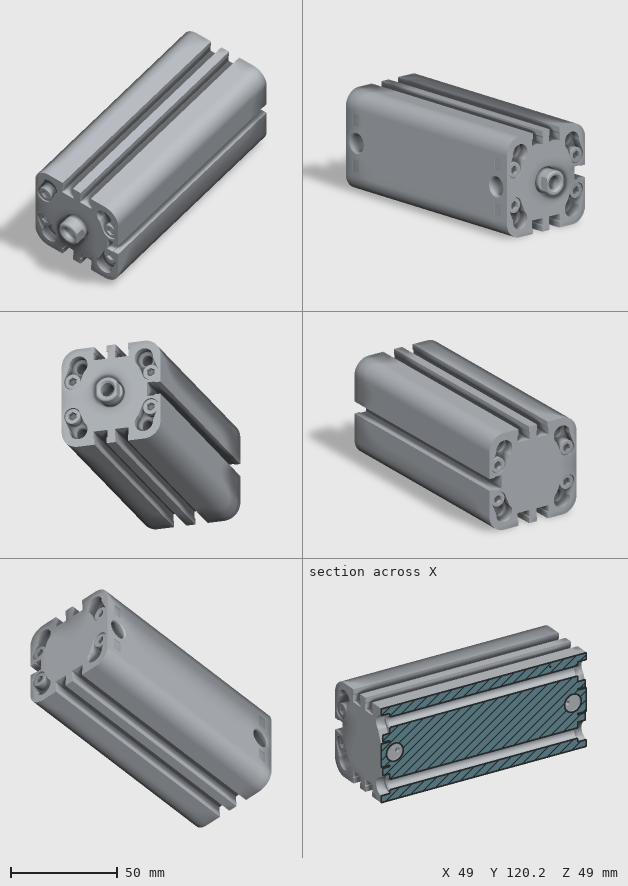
import cadquery as cq
import math


BODY_WIDTH = 49.0
TOTAL_LENGTH = 120.2
ROD_REACH = 6.6
BODY_LENGTH = TOTAL_LENGTH - ROD_REACH
CORNER_RADIUS = 8.0
HALF_WIDTH = BODY_WIDTH / 2

GROOVE_OFFSET = 5.3
GROOVE_MOUTH = 6.0
GROOVE_WIDTH = 6.9
GROOVE_DEPTH = 6.6
GROOVE_LIP = 2.8

HOLE_OFFSET = 16.2
HOLE_DIAMETER = 5.2
COUNTERSINK_DIAMETER = 6.4
COUNTERBORE_DIAMETER = 9.0
SCREW_X = 19.4
SCREW_Z = 8.7
SLOT_WIDTH = 7.9
WAIST_RADIUS = 1.8
POCKET_DEPTH = 4.7
SCREW_HEAD_DIAMETER = 7.5
SCREW_HEAD_CHAMFER = 0.1
SCREW_RECESS = 0.6
SOCKET_ACROSS_FLATS = 3.7
SOCKET_DEPTH = 2.4

PORT_INSET = 7.6
PORT_DIAMETER = 9.0
PORT_CHAMFER = 0.6
PORT_DEPTH = 9.6
AIR_HOLE_DIAMETER = 2.5
AIR_HOLE_SHIFT = 2.2
AIR_HOLE_DEPTH = 3.6

LABEL_INSET = 6.7
LABEL_HEIGHT_OFFSET = 11.0
LABEL_LENGTH = 4.2
LABEL_HEIGHT = 5.9
LABEL_DEPTH = 0.2

CUT_MARGIN = 1.2
MATCH_TOLERANCE = 0.01

ROD_DIAMETER = 12.0
ROD_TIP_RADIUS = 1.0
ROD_FLATS = 10.0
ROD_FLAT_LENGTH = 4.2
ROD_BORE_DIAMETER = 6.6
ROD_BORE_MOUTH = 8.5
ROD_BORE_DEPTH = 12.0
DRILL_POINT_FLAT = 1.0
DRILL_POINT_ANGLE = 118.0
ROD_CLEARANCE_DIAMETER = 12.5
ROD_CLEARANCE_MOUTH = 13.7
ROD_CLEARANCE_DEPTH = 1.8


def cylinder_y(diameter, start, length, x=0, z=0):
    """Cylinder that runs from y = start toward +Y."""
    base = cq.Workplane("XZ", origin=(x, start, z))
    return base.circle(diameter / 2).extrude(-length)


def revolve_y(profile):
    """Solid turned about the Y axis from (radius, y) points."""
    return cq.Workplane("XY").polyline(profile).close().revolve(360, (0, 0, 0), (0, 1, 0))


def both_ends(shape):
    """The shape together with its mirror image at the other end of the body."""
    middle = (0, BODY_LENGTH / 2, 0)
    return shape.union(shape.mirror("XZ", middle))


def four_corners(shape):
    """The shape repeated in all four corners of the end face."""
    pair = shape.union(shape.mirror("YZ"))
    return pair.union(pair.mirror("XY"))


def body_block():
    block = cq.Workplane("XZ").rect(BODY_WIDTH, BODY_WIDTH).extrude(-BODY_LENGTH)
    return block.edges("|Y").fillet(CORNER_RADIUS)


def groove(offset):
    """Groove with 45 degree shoulders along the top face, centred at x = offset."""
    mouth = GROOVE_MOUTH / 2
    inner = GROOVE_WIDTH / 2
    lip = HALF_WIDTH - GROOVE_LIP
    shoulder = lip - (inner - mouth)
    bottom = HALF_WIDTH - GROOVE_DEPTH
    right_side = [(mouth, HALF_WIDTH), (mouth, lip), (inner, shoulder), (inner, bottom)]
    left_side = [(-x, z) for x, z in reversed(right_side)]
    outline = [(offset + x, z) for x, z in right_side + left_side]
    return cq.Workplane("XZ").polyline(outline).close().extrude(-BODY_LENGTH)


def grooves():
    top_pair = groove(-GROOVE_OFFSET).union(groove(GROOVE_OFFSET))
    side = groove(0).rotate((0, 0, 0), (0, 1, 0), 90)
    return top_pair.union(top_pair.mirror("XY")).union(side)


def screw_slot():
    """Rounded slot from the mounting hole to the cover screw."""
    dx = SCREW_X - HOLE_OFFSET
    dz = SCREW_Z - HOLE_OFFSET
    reach = math.hypot(dx, dz)
    angle = math.degrees(math.atan2(dz, dx))
    slot = cq.Workplane("XZ", origin=(HOLE_OFFSET, 0, HOLE_OFFSET))
    slot = slot.transformed(rotate=(0, 0, angle))
    straight = slot.center(reach / 2, 0).rect(reach, SLOT_WIDTH).extrude(-POCKET_DEPTH)
    return straight.union(cylinder_y(SLOT_WIDTH, 0, POCKET_DEPTH, SCREW_X, SCREW_Z))


def mounting_cuts():
    """Screw pocket and countersink at the front end of one corner."""
    counterbore = cylinder_y(COUNTERBORE_DIAMETER, 0, POCKET_DEPTH, HOLE_OFFSET, HOLE_OFFSET)
    pocket = screw_slot().union(counterbore)
    hole_centre = cq.Vector(HOLE_OFFSET, POCKET_DEPTH / 2, HOLE_OFFSET)

    def touches_counterbore(edge):
        distance = (edge.Center() - hole_centre).Length
        return math.isclose(distance, COUNTERBORE_DIAMETER / 2, abs_tol=MATCH_TOLERANCE)

    waist = pocket.edges("|Y").filter(touches_counterbore)
    pocket = waist.fillet(WAIST_RADIUS)
    hole_radius = HOLE_DIAMETER / 2
    sink_radius = COUNTERSINK_DIAMETER / 2
    cone = cq.Solid.makeCone(
        sink_radius, hole_radius, sink_radius - hole_radius,
        pnt=cq.Vector(HOLE_OFFSET, POCKET_DEPTH, HOLE_OFFSET),
        dir=cq.Vector(0, 1, 0),
    )
    return pocket.union(cone)


def cover_screw():
    """Socket head standing on the pocket floor."""
    head_length = POCKET_DEPTH - SCREW_RECESS
    head = cylinder_y(SCREW_HEAD_DIAMETER, SCREW_RECESS, head_length, SCREW_X, SCREW_Z)
    head = head.faces("<Y").chamfer(SCREW_HEAD_CHAMFER)
    across_corners = SOCKET_ACROSS_FLATS / math.cos(math.pi / 6)
    socket = (
        cq.Workplane("XZ", origin=(SCREW_X, SCREW_RECESS, SCREW_Z))
        .transformed(rotate=(0, 0, 90))
        .polygon(6, across_corners)
        .extrude(-SOCKET_DEPTH)
    )
    return head.cut(socket)


def port_cuts():
    """Chamfered port, its offset air hole and the two label recesses at the front end."""
    side = cq.Workplane("YZ", origin=(-HALF_WIDTH, 0, 0))
    port = side.center(PORT_INSET, 0).circle(PORT_DIAMETER / 2).extrude(PORT_DEPTH)
    chamfer = (
        side.center(PORT_INSET, 0)
        .circle(PORT_DIAMETER / 2 + PORT_CHAMFER)
        .extrude(PORT_CHAMFER, taper=45)
    )
    air_hole = (
        side.center(PORT_INSET + AIR_HOLE_SHIFT, 0)
        .circle(AIR_HOLE_DIAMETER / 2)
        .extrude(PORT_DEPTH + AIR_HOLE_DEPTH)
    )
    labels = (
        side.pushPoints([(LABEL_INSET, -LABEL_HEIGHT_OFFSET), (LABEL_INSET, LABEL_HEIGHT_OFFSET)])
        .rect(LABEL_LENGTH, LABEL_HEIGHT)
        .extrude(LABEL_DEPTH)
    )
    return port.union(chamfer).union(air_hole).union(labels)


def rod_clearance():
    """Hole around the rod with a chamfered mouth."""
    hole_radius = ROD_CLEARANCE_DIAMETER / 2
    mouth_radius = ROD_CLEARANCE_MOUTH / 2
    return revolve_y([
        (0, 0),
        (mouth_radius, 0),
        (hole_radius, mouth_radius - hole_radius),
        (hole_radius, ROD_CLEARANCE_DEPTH),
        (0, ROD_CLEARANCE_DEPTH),
    ])


def rod_flat():
    """Cutter for the wrench flat on the +X side, ending in a 45 degree run-out."""
    flat = ROD_FLATS / 2
    outside = ROD_DIAMETER / 2 + CUT_MARGIN
    flat_end = ROD_FLAT_LENGTH - ROD_REACH
    outline = [
        (flat, -ROD_REACH),
        (outside, -ROD_REACH),
        (outside, flat_end + outside - flat),
        (flat, flat_end),
    ]
    return cq.Workplane("XY").polyline(outline).close().extrude(ROD_DIAMETER / 2, both=True)


def rod_bore():
    """Blind bore with a countersunk mouth and a drill point."""
    bore = ROD_BORE_DIAMETER / 2
    mouth = ROD_BORE_MOUTH / 2
    bore_end = ROD_BORE_DEPTH - ROD_REACH
    flat = DRILL_POINT_FLAT / 2
    point_length = (bore - flat) / math.tan(math.radians(DRILL_POINT_ANGLE / 2))
    return revolve_y([
        (0, -ROD_REACH),
        (mouth, -ROD_REACH),
        (bore, mouth - bore - ROD_REACH),
        (bore, bore_end),
        (flat, bore_end + point_length),
        (0, bore_end + point_length),
    ])


def rod():
    blank = cylinder_y(ROD_DIAMETER, -ROD_REACH, ROD_REACH + ROD_CLEARANCE_DEPTH)
    blank = blank.faces("<Y").edges().fillet(ROD_TIP_RADIUS)
    return blank.cut(rod_flat()).cut(rod_flat().mirror("YZ"))


through_hole = cylinder_y(HOLE_DIAMETER, 0, BODY_LENGTH, HOLE_OFFSET, HOLE_OFFSET)

result = (
    body_block()
    .cut(grooves())
    .cut(both_ends(four_corners(mounting_cuts())))
    .cut(four_corners(through_hole))
    .union(both_ends(four_corners(cover_screw())))
    .cut(both_ends(port_cuts()))
    .cut(rod_clearance())
    .union(rod())
    .cut(rod_bore())
)